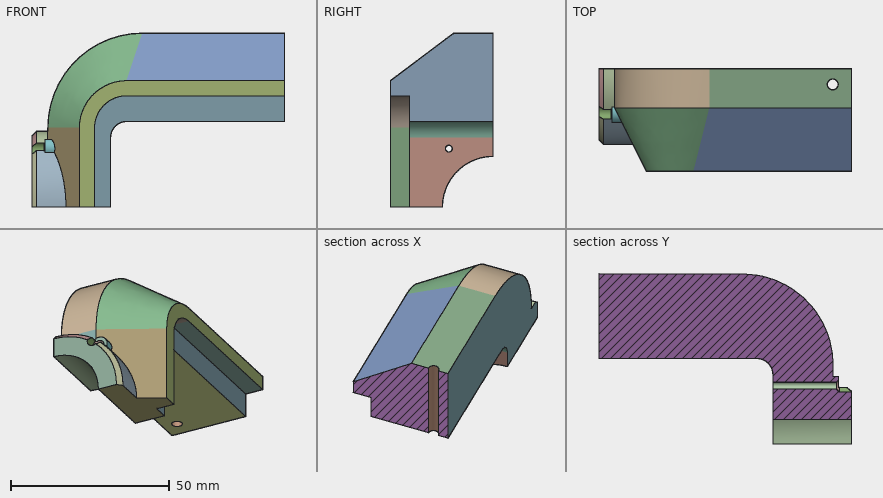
import cadquery as cq
import math

length = 80.0
height = 55.0
depth = 32.5
straight_depth = 12.5

outer_leg_x = 5.0
outer_bend_radius = 30.0
face_leg_x = 15.0
face_arm_z = 40.0
face_bend_radius = 15.0
step_leg_x = 19.8
step_arm_z = 35.2
step_bend_radius = 10.2
step_depth = 6.1
inner_leg_x = 25.0
inner_arm_z = 27.0
inner_bend_radius = 5.0

collar_radius = 24.0
collar_bore_radius = 16.0
collar_chamfer = 1.5

screw_y = -14.0
screw_z = 18.5
screw_radius = 1.0
seat_radius = 2.0
countersink_start_x = 3.9
boss_radius = 3.0
boss_start_x = 4.2

arm_hole_end_gap = 6.0
arm_hole_y = -5.0
arm_hole_radius = 1.7


def draw_elbow(plane, leg_x, arm_z, bend_radius):
    """Closed L outline between the given outer faces and the inside corner."""
    diagonal = bend_radius * (1 - math.sqrt(0.5))
    inner_diagonal = inner_bend_radius * (1 - math.sqrt(0.5))
    return (
        plane.moveTo(leg_x, 0)
        .lineTo(leg_x, arm_z - bend_radius)
        .threePointArc(
            (leg_x + diagonal, arm_z - diagonal),
            (leg_x + bend_radius, arm_z),
        )
        .lineTo(length, arm_z)
        .lineTo(length, inner_arm_z)
        .lineTo(inner_leg_x + inner_bend_radius, inner_arm_z)
        .threePointArc(
            (inner_leg_x + inner_diagonal, inner_arm_z - inner_diagonal),
            (inner_leg_x, inner_arm_z - inner_bend_radius),
        )
        .lineTo(inner_leg_x, 0)
        .close()
    )


def x_cylinder(radius, start_x, end_x, y=0, z=0):
    return (
        cq.Workplane("YZ", origin=(start_x, y, z))
        .circle(radius)
        .extrude(end_x - start_x)
    )


def make_elbow():
    """Straight rim, tapered cover and the step set back from its front face."""
    outer_outline = (outer_leg_x, height, outer_bend_radius)
    rim = draw_elbow(cq.Workplane("XZ"), *outer_outline).extrude(straight_depth)
    taper_base = draw_elbow(cq.Workplane("XZ", origin=(0, -straight_depth, 0)), *outer_outline)
    taper = draw_elbow(
        taper_base.workplane(offset=depth - straight_depth),
        face_leg_x, face_arm_z, face_bend_radius,
    ).loft(ruled=True)
    step = draw_elbow(
        cq.Workplane("XZ", origin=(0, step_depth - depth, 0)),
        step_leg_x, step_arm_z, step_bend_radius,
    ).extrude(step_depth)
    return rim.union(taper).cut(step)


def make_collar():
    """Chamfered quarter disc, running into the leg."""
    disc = x_cylinder(collar_radius, 0, face_leg_x).faces("<X").chamfer(collar_chamfer)
    quarter = cq.Workplane("XY").box(
        face_leg_x, collar_radius, collar_radius, centered=False
    ).translate((0, -collar_radius, 0))
    return disc.intersect(quarter)


def make_screw_cut():
    """Head clearance, a 45 degree countersink and a through hole along X."""
    head = x_cylinder(seat_radius, 0, countersink_start_x, screw_y, screw_z)
    countersink = cq.Workplane("XY").add(
        cq.Solid.makeCone(
            seat_radius, screw_radius, seat_radius - screw_radius,
            pnt=cq.Vector(countersink_start_x, screw_y, screw_z),
            dir=cq.Vector(1, 0, 0),
        )
    )
    hole = x_cylinder(screw_radius, 0, inner_leg_x, screw_y, screw_z)
    return head.union(countersink).union(hole)


elbow = make_elbow()
boss = x_cylinder(boss_radius, boss_start_x, face_leg_x, screw_y, screw_z)
arm_hole = (
    cq.Workplane("XY", origin=(length - arm_hole_end_gap, arm_hole_y, 0))
    .circle(arm_hole_radius)
    .extrude(height)
)

result = (
    elbow.union(make_collar())
    .union(boss)
    .cut(x_cylinder(collar_bore_radius, 0, inner_leg_x))
    .cut(make_screw_cut())
    .cut(arm_hole)
)